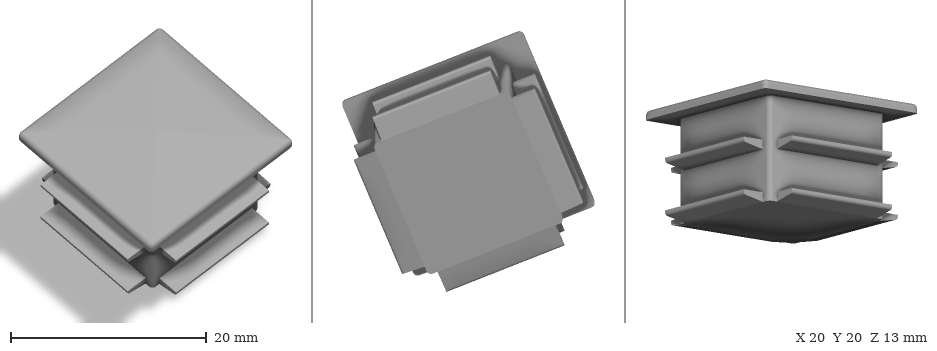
import cadquery as cq

cap_side = 20.0
cap_thickness = 1.0
edge_radius = 0.5
total_height = 13.0
apex_flat_side = 0.5
ridge_base_radius = 0.01
ridge_apex_radius = 0.08

plug_side = 15.0
plug_height = 11.0
plug_corner_radius = 0.5

fin_length = 13.0
fin_root_height = 1.0
fin_tip_height = 0.5
fin_tip_radius = 0.3
fin_levels = (0.0, plug_height / 2)

pyramid_base_z = plug_height + cap_thickness
pyramid_base_side = cap_side - 2 * edge_radius
pyramid_height = total_height - pyramid_base_z


def make_plug():
    plug = cq.Workplane("XY").rect(plug_side, plug_side).extrude(plug_height)
    return plug.edges("|Z").fillet(plug_corner_radius)


def make_cap():
    plate = (
        cq.Workplane("XY", origin=(0, 0, plug_height))
        .rect(cap_side, cap_side)
        .extrude(cap_thickness)
        .edges("|Z")
        .fillet(edge_radius)
        .faces(">Z")
        .edges()
        .fillet(edge_radius)
    )
    base = cq.Sketch().rect(pyramid_base_side, pyramid_base_side).vertices().fillet(ridge_base_radius)
    apex = cq.Sketch().rect(apex_flat_side, apex_flat_side).vertices().fillet(ridge_apex_radius)
    pyramid = (
        cq.Workplane("XY", origin=(0, 0, pyramid_base_z))
        .placeSketch(base, apex.moved(cq.Location(cq.Vector(0, 0, pyramid_height))))
        .loft(ruled=True)
    )
    return plate.union(pyramid)


def make_fin(bottom_z):
    """Fin on the +X side: flat top, sloping underside, rounded lower tip."""
    root_x = plug_side / 2
    tip_x = cap_side / 2
    top_z = bottom_z + fin_root_height
    fin = (
        cq.Workplane("XZ")
        .moveTo(0, bottom_z)
        .lineTo(root_x, bottom_z)
        .lineTo(tip_x, top_z - fin_tip_height)
        .lineTo(tip_x, top_z)
        .lineTo(0, top_z)
        .close()
        .extrude(fin_length / 2, both=True)
    )
    return fin.faces(">X").edges("<Z").fillet(fin_tip_radius)


result = make_plug().union(make_cap())
for level in fin_levels:
    for angle in (0, 90, 180, 270):
        result = result.union(make_fin(level).rotate((0, 0, 0), (0, 0, 1), angle))